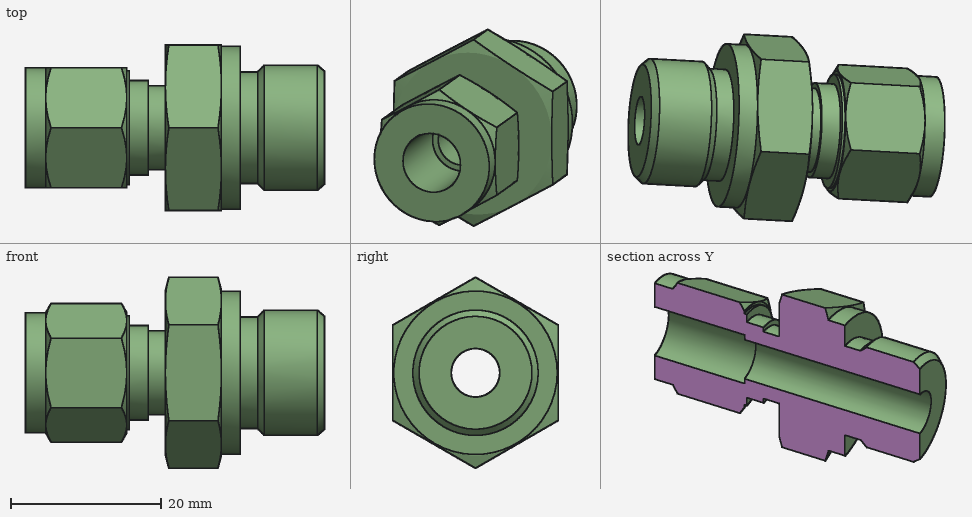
import cadquery as cq
import math

total_length = 39.8
nut_hex_start = 2.7
nut_hex_end = 13.5
nut_face_end = 13.85
collar_end = 16.35
body_hex_start = 18.63
body_hex_end = 26.05
flange_end = 28.58
relief_end = 30.9

nut_face_diameter = 15.2
collar_diameter = 12.6
neck_diameter = 11.2
flange_diameter = 21.75
relief_diameter = 14.9
thread_diameter = 16.68

nut_flats = 16.0
nut_bevel_angle = 30.0
body_flats = 22.0
body_bevel_angle = 15.0

thread_bevel_length = 0.95
thread_bevel_depth = 0.85

socket_diameter = 8.0
socket_depth = nut_hex_end
passage_diameter = 6.4


def cylinder(start, end, diameter):
    """Round section on the X axis between two positions."""
    return cq.Workplane("YZ", origin=(start, 0, 0)).circle(diameter / 2).extrude(end - start)


def revolve_about_x(points):
    """Revolve a closed (x, radius) outline around the X axis."""
    return cq.Workplane("XY").polyline(points).close().revolve(360, (0, 0, 0), (1, 0, 0))


def beveled_hexagon(start, end, flats, bevel_angle):
    """Hexagon with corners at +Z and -Z, its corners turned down to a cone at both ends."""
    corner_radius = flats / 2 / math.cos(math.radians(30))
    face_radius = flats / 2
    bevel_length = (corner_radius - face_radius) * math.tan(math.radians(bevel_angle))
    prism = (
        cq.Workplane("YZ", origin=(start, 0, 0))
        .polygon(6, 2 * corner_radius)
        .extrude(end - start)
        .rotate((0, 0, 0), (1, 0, 0), 90)
    )
    envelope = revolve_about_x([
        (start, 0),
        (start, face_radius),
        (start + bevel_length, corner_radius),
        (end - bevel_length, corner_radius),
        (end, face_radius),
        (end, 0),
    ])
    return prism.intersect(envelope)


def thread_section():
    """Plain thread cylinder with a 45 degree run-out at the relief and a beveled free end."""
    thread_radius = thread_diameter / 2
    relief_radius = relief_diameter / 2
    runout_length = thread_radius - relief_radius
    return revolve_about_x([
        (relief_end, 0),
        (relief_end, relief_radius),
        (relief_end + runout_length, thread_radius),
        (total_length - thread_bevel_length, thread_radius),
        (total_length, thread_radius - thread_bevel_depth),
        (total_length, 0),
    ])


nut = (
    cylinder(0, nut_hex_start, nut_flats)
    .union(beveled_hexagon(nut_hex_start, nut_hex_end, nut_flats, nut_bevel_angle))
    .union(cylinder(nut_hex_end, nut_face_end, nut_face_diameter))
)

body = (
    cylinder(nut_face_end, collar_end, collar_diameter)
    .union(cylinder(collar_end, body_hex_start, neck_diameter))
    .union(beveled_hexagon(body_hex_start, body_hex_end, body_flats, body_bevel_angle))
    .union(cylinder(body_hex_end, flange_end, flange_diameter))
    .union(cylinder(flange_end, relief_end, relief_diameter))
    .union(thread_section())
)

bore = cylinder(0, socket_depth, socket_diameter).union(
    cylinder(socket_depth, total_length, passage_diameter)
)

result = nut.union(body).cut(bore)